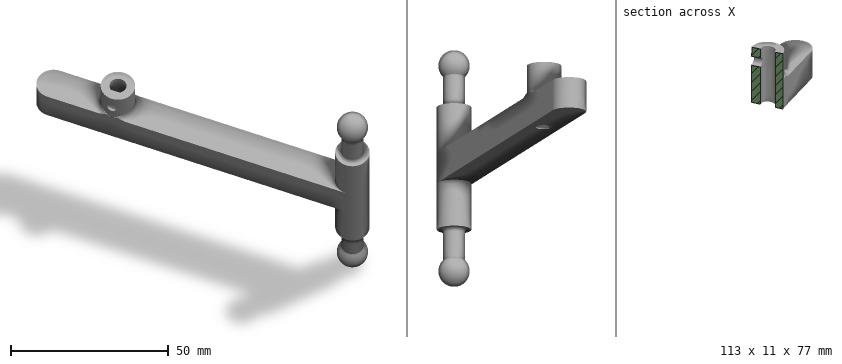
import cadquery as cq
import math

length = 113.0
width = 11.0
arm_height = 10.0
end_radius = width / 2

post_x = length - end_radius
post_height = 40.0
overall_height = 77.0
neck_radius = 3.5
neck_fillet = 1.0
ball_radius = 5.0

hub_x = 27.5
hub_height = 10.1
hub_fillet = 2.0
fade_half_width = 4.1
bore_radius = 2.7
bore_flat_offset = 2.3
pin_hole_diameter = 3.0
pin_hole_drop = 5.0

arm_top = arm_height / 2
hub_top = arm_top + hub_height


def make_arm_with_hub():
    arm = (
        cq.Workplane("XY", origin=(0, 0, -arm_top))
        .moveTo(post_x, -end_radius)
        .lineTo(end_radius, -end_radius)
        .threePointArc((0, 0), (end_radius, end_radius))
        .lineTo(post_x, end_radius)
        .close()
        .extrude(arm_height)
    )
    hub = cq.Workplane("XY", origin=(hub_x, 0, arm_top)).circle(end_radius).extrude(hub_height)
    return arm.union(make_hub_skirt()).union(hub)


def make_hub_skirt():
    """Concave flare at the hub root, fading out where the hub meets the arm's sides."""
    skirt_radius = end_radius + hub_fillet
    arc_inset = hub_fillet * (1 - math.sqrt(0.5))
    flare = (
        cq.Workplane("XZ", origin=(hub_x, 0, arm_top))
        .lineTo(skirt_radius, 0)
        .threePointArc((end_radius + arc_inset, arc_inset), (end_radius, hub_fillet))
        .lineTo(0, hub_fillet)
        .close()
        .revolve(360, (0, 0, 0), (0, 1, 0))
    )
    arm_strip = cq.Workplane("XY", origin=(hub_x, 0, arm_top)).box(
        2 * skirt_radius, width, 2 * hub_fillet
    )
    fade_notch = (
        cq.Workplane("XZ", origin=(hub_x, 0, arm_top))
        .lineTo(fade_half_width, hub_fillet)
        .lineTo(-fade_half_width, hub_fillet)
        .close()
        .extrude(end_radius, both=True)
    )
    return flare.intersect(arm_strip).cut(fade_notch)


def make_post():
    """Revolve the half profile of the post, its necks and its end balls."""
    half_post = post_height / 2
    ball_z = overall_height / 2 - ball_radius
    neck_end = ball_z - math.sqrt(ball_radius**2 - neck_radius**2)
    fillet_end = half_post + neck_fillet
    fillet_rim = neck_radius + neck_fillet
    fillet_inset = neck_fillet * (1 - math.sqrt(0.5))
    upper_half = (
        cq.Workplane("XZ")
        .lineTo(end_radius, 0)
        .lineTo(end_radius, half_post)
        .lineTo(fillet_rim, half_post)
        .threePointArc(
            (neck_radius + fillet_inset, half_post + fillet_inset),
            (neck_radius, fillet_end),
        )
        .lineTo(neck_radius, neck_end)
        .threePointArc((ball_radius, ball_z), (0, ball_z + ball_radius))
        .close()
        .revolve(360, (0, 0, 0), (0, 1, 0))
    )
    return upper_half.union(upper_half.mirror("XY")).translate((post_x, 0, 0))


def make_bore():
    """D-shaped bore through the hub and arm, flat on the -Y side."""
    depth = hub_top + arm_top
    flat_half = math.sqrt(bore_radius**2 - bore_flat_offset**2)
    return (
        cq.Workplane("XY", origin=(hub_x, 0, -arm_top))
        .moveTo(-flat_half, -bore_flat_offset)
        .lineTo(flat_half, -bore_flat_offset)
        .threePointArc((0, bore_radius), (-flat_half, -bore_flat_offset))
        .close()
        .extrude(depth)
    )


def make_pin_hole():
    """Cross hole from the -Y side of the hub into the bore."""
    return (
        cq.Workplane("XZ", origin=(hub_x, 0, hub_top - pin_hole_drop))
        .circle(pin_hole_diameter / 2)
        .extrude(end_radius)
    )


result = make_arm_with_hub().union(make_post()).cut(make_bore()).cut(make_pin_hole())